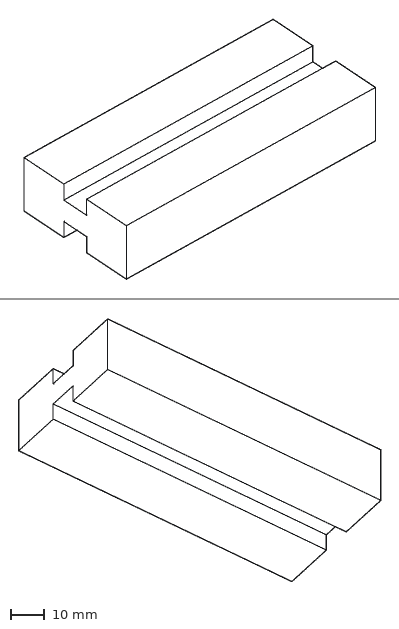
import cadquery as cq

width = 45.0
length = 100.0
height = 20.0

groove_width = 10.0
web_thickness = 8.0
groove_depth = (height - web_thickness) / 2


def groove(side):
    """Full-length groove cutter: side is +1 for the top face, -1 for the bottom face."""
    center_z = side * (height - groove_depth) / 2
    return cq.Workplane("XY").box(groove_width, length, groove_depth).translate((0, 0, center_z))


result = cq.Workplane("XY").box(width, length, height)
for side in (1, -1):
    result = result.cut(groove(side))